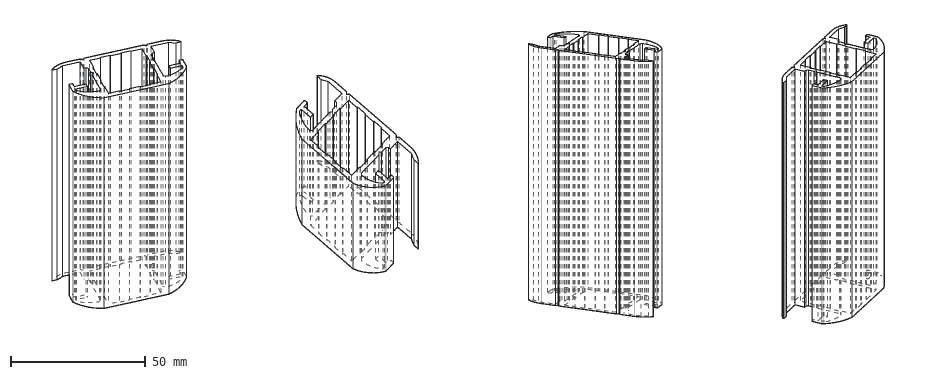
import cadquery as cq

LENGTH = 100.0
WIDTH = 25.0
HEIGHT = 51.0
SIDE_X = WIDTH / 2
TIP_Y = HEIGHT / 2

CAVITY_X = 21.0
CAVITY_Y = 20.7
WEB_OUTER_Y = 12.4

GROOVE_WIDTH = 3.9
GROOVE_DEPTH = 0.3
GROOVE_OFFSET = 4.1

LIP_THICKNESS = 1.7
LIP_BEND_Y = 19.0
LIP_INNER_BEND_Y = 21.0
LIP_TIP_X = -9.6
LIP_TIP_FLAT = 2.0
LIP_TIP_WIDTH = 0.3
LIP_OUTER_MID = (-11.7, 22.8)
LIP_INNER_MID = (-10.1, 22.3)

LEDGE_Y = 14.0
LEDGE_END_X = -6.8
LEDGE_CHAMFER = 0.7

HOOK_BOW_Y = 12.8
HOOK_BOW_MID = (9.4, 18.6)
HOOK_TOP_Y = 22.5
HOOK_TOP_X = 5.0
HOOK_END_X = 0.5
HOOK_THICKNESS = 1.5
HOOK_END_RADIUS = 0.3
HOOK_TOP_RADIUS = 0.8
STEM_LEFT_X = 2.4
STEM_WIDTH = 1.6
STEM_END_Y = 16.4
POCKET_CORNER_X = 5.0
POCKET_MID = (7.1, 17.5)
POCKET_SIDE_X = 8.0
POCKET_CHAMFER = 0.7

NOTCH_DEPTH = 0.7
NOTCH_HALF_WIDTH = 0.7
WEB_NOTCH_X = -3.1
SIDE_NOTCH_Y = 12.5


def round_long_edge(body, x, y, radius):
    """Fillet the lengthwise edge that passes through (x, y)."""
    edge = cq.NearestToPointSelector((x, y, LENGTH / 2))
    return body.edges("|Z").edges(edge).fillet(radius)


def half_profile():
    """Outer shape of the +Y half, closed along the X axis."""
    lip_inner_x = -SIDE_X + LIP_THICKNESS
    hook_under_y = HOOK_TOP_Y - HOOK_THICKNESS
    stem_right_x = STEM_LEFT_X + STEM_WIDTH
    outline = (
        cq.Workplane("XY")
        .moveTo(-SIDE_X, 0)
        .lineTo(-SIDE_X, LIP_BEND_Y)
        .threePointArc(LIP_OUTER_MID, (LIP_TIP_X - LIP_TIP_WIDTH, TIP_Y))
        .lineTo(LIP_TIP_X, TIP_Y)
        .lineTo(LIP_TIP_X, TIP_Y - LIP_TIP_FLAT)
        .threePointArc(LIP_INNER_MID, (lip_inner_x, LIP_INNER_BEND_Y))
        .lineTo(lip_inner_x, LEDGE_Y)
        .lineTo(LEDGE_END_X, LEDGE_Y)
        .lineTo(LEDGE_END_X, WEB_OUTER_Y + LEDGE_CHAMFER)
        .lineTo(LEDGE_END_X + LEDGE_CHAMFER, WEB_OUTER_Y)
        .lineTo(POCKET_SIDE_X - POCKET_CHAMFER, WEB_OUTER_Y)
        .lineTo(POCKET_SIDE_X, WEB_OUTER_Y + POCKET_CHAMFER)
        .threePointArc(POCKET_MID, (POCKET_CORNER_X, hook_under_y))
        .lineTo(stem_right_x, hook_under_y)
        .lineTo(stem_right_x, STEM_END_Y)
        .lineTo(STEM_LEFT_X, STEM_END_Y)
        .lineTo(STEM_LEFT_X, hook_under_y)
        .lineTo(HOOK_END_X, hook_under_y)
        .lineTo(HOOK_END_X, HOOK_TOP_Y)
        .lineTo(HOOK_TOP_X, HOOK_TOP_Y)
        .threePointArc(HOOK_BOW_MID, (SIDE_X, HOOK_BOW_Y))
        .lineTo(SIDE_X, 0)
        .close()
    )
    body = outline.extrude(LENGTH)
    body = round_long_edge(body, HOOK_TOP_X, HOOK_TOP_Y, HOOK_TOP_RADIUS)
    body = round_long_edge(body, HOOK_END_X, HOOK_TOP_Y, HOOK_END_RADIUS)
    return round_long_edge(body, HOOK_END_X, hook_under_y, HOOK_END_RADIUS)


def notches():
    """V notches of the +Y half: one in the web, one in the -X side."""
    web_notch = cq.Workplane("XY").polyline([
        (WEB_NOTCH_X - NOTCH_HALF_WIDTH, WEB_OUTER_Y),
        (WEB_NOTCH_X, WEB_OUTER_Y - NOTCH_DEPTH),
        (WEB_NOTCH_X + NOTCH_HALF_WIDTH, WEB_OUTER_Y),
    ]).close().extrude(LENGTH)
    side_notch = cq.Workplane("XY").polyline([
        (-SIDE_X, SIDE_NOTCH_Y - NOTCH_HALF_WIDTH),
        (-SIDE_X + NOTCH_DEPTH, SIDE_NOTCH_Y),
        (-SIDE_X, SIDE_NOTCH_Y + NOTCH_HALF_WIDTH),
    ]).close().extrude(LENGTH)
    return web_notch.union(side_notch)


def grooved_cavity():
    """Rectangular through cavity with two shallow grooves in each wall."""
    span_x = CAVITY_X + 2 * GROOVE_DEPTH
    span_y = CAVITY_Y + 2 * GROOVE_DEPTH
    cavity = cq.Workplane("XY").rect(CAVITY_X, CAVITY_Y).extrude(LENGTH)
    for offset in (-GROOVE_OFFSET, GROOVE_OFFSET):
        across_y = cq.Workplane("XY").center(offset, 0).rect(GROOVE_WIDTH, span_y)
        across_x = cq.Workplane("XY").center(0, offset).rect(span_x, GROOVE_WIDTH)
        cavity = cavity.union(across_y.extrude(LENGTH)).union(across_x.extrude(LENGTH))
    return cavity


upper_half = half_profile().cut(notches())
lower_half = upper_half.mirror("XZ")
result = upper_half.union(lower_half).clean().cut(grooved_cavity())